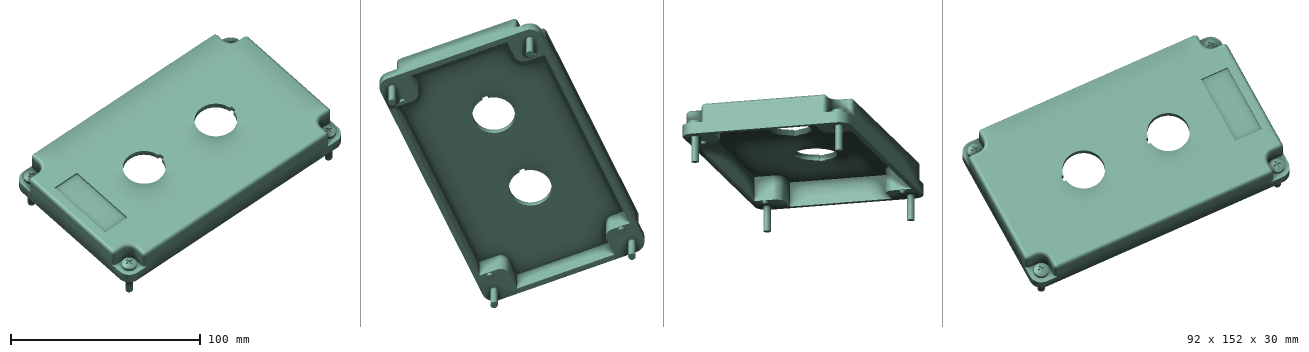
import cadquery as cq
import math

WIDTH = 92.0
LENGTH = 152.0
HEIGHT = 16.3
WALL = 3.0
CORNER_RADIUS = 6.5
EDGE_RADIUS = 2.0

POCKET_SIZE = 11.5
POCKET_FLOOR_Z = 6.1
POCKET_RADIUS = POCKET_SIZE - CORNER_RADIUS
BOSS_SIZE = 18.2

SCREW_X = WIDTH / 2 - CORNER_RADIUS
SCREW_Y = LENGTH / 2 - CORNER_RADIUS
SHANK_DIAMETER = 4.0
SHANK_LENGTH = 13.7
HEAD_DIAMETER = 7.9
HEAD_SIDE_HEIGHT = 2.0
HEAD_HEIGHT = 3.0
CROSS_LENGTH = 4.0
CROSS_WIDTH = 1.0
CROSS_DEPTH = 1.2

PEG_DIAMETER = 3.0
PEG_LENGTH = 1.4
PEG_TAPER = 15
PEG_X = WIDTH / 2 - 8.4
PEG_Y = LENGTH / 2 - 16.4

HOLE_DIAMETER = 22.5
HOLE_SPACING = 49.9
KEY_WIDTH = 3.2
KEY_REACH = 12.5

LABEL_WIDTH = 40.7
LABEL_LENGTH = 15.7
LABEL_DEPTH = 1.2
LABEL_Y = -62.0


def at_corners(x, y):
    """The four points mirrored about both centre lines."""
    return [(side_x * x, side_y * y) for side_x in (-1, 1) for side_y in (-1, 1)]


def corner_blocks(size, height):
    """Square blocks filling the four corners of the outline, with the inner edge rounded."""
    blocks = (
        cq.Workplane("XY")
        .pushPoints(at_corners(WIDTH / 2, LENGTH / 2))
        .rect(2 * size, 2 * size)
        .extrude(height)
    )
    return blocks.edges("|Z").fillet(POCKET_RADIUS)


def cover_shell():
    base = cq.Workplane("XY").rect(WIDTH, LENGTH).extrude(POCKET_FLOOR_Z)
    base = base.edges("|Z").fillet(CORNER_RADIUS)

    raised_height = HEIGHT - POCKET_FLOOR_Z
    raised = cq.Workplane("XY").rect(WIDTH, LENGTH).extrude(raised_height)
    raised = raised.cut(corner_blocks(POCKET_SIZE, raised_height))
    for side in ("<X", ">X", "<Y", ">Y"):
        raised = raised.faces(side).edges("|Z").fillet(EDGE_RADIUS)
    raised = raised.faces(">Z").edges().fillet(EDGE_RADIUS)

    cavity_height = HEIGHT - WALL
    cavity = cq.Workplane("XY").rect(WIDTH - 2 * WALL, LENGTH - 2 * WALL).extrude(cavity_height)
    cavity = cavity.cut(corner_blocks(BOSS_SIZE, cavity_height))

    return base.union(raised.translate((0, 0, POCKET_FLOOR_Z))).cut(cavity)


def button_hole():
    """Cutter for a round hole with a key notch on its +Y side."""
    bore = cq.Workplane("XY").circle(HOLE_DIAMETER / 2).extrude(HEIGHT)
    key = cq.Workplane("XY").center(0, KEY_REACH / 2).rect(KEY_WIDTH, KEY_REACH).extrude(HEIGHT)
    return bore.union(key)


def label_recess():
    return (
        cq.Workplane("XY", origin=(0, LABEL_Y, HEIGHT - LABEL_DEPTH))
        .rect(LABEL_WIDTH, LABEL_LENGTH)
        .extrude(LABEL_DEPTH)
    )


def screw():
    """Cross-head screw on the Z axis, its head seated on the pocket floor."""
    head_radius = HEAD_DIAMETER / 2
    shoulder_z = POCKET_FLOOR_Z + HEAD_SIDE_HEIGHT
    top_z = POCKET_FLOOR_Z + HEAD_HEIGHT
    dome_height = HEAD_HEIGHT - HEAD_SIDE_HEIGHT
    dome_radius = (head_radius**2 + dome_height**2) / (2 * dome_height)
    middle_x = head_radius / 2
    middle_z = top_z - dome_radius + math.sqrt(dome_radius**2 - middle_x**2)
    body = (
        cq.Workplane("XZ")
        .moveTo(0, -SHANK_LENGTH)
        .lineTo(SHANK_DIAMETER / 2, -SHANK_LENGTH)
        .lineTo(SHANK_DIAMETER / 2, POCKET_FLOOR_Z)
        .lineTo(head_radius, POCKET_FLOOR_Z)
        .lineTo(head_radius, shoulder_z)
        .threePointArc((middle_x, middle_z), (0, top_z))
        .close()
        .revolve(360, (0, 0, 0), (0, 1, 0))
    )
    cross_plane = cq.Workplane("XY", origin=(0, 0, top_z - CROSS_DEPTH))
    slot_x = cross_plane.rect(CROSS_LENGTH, CROSS_WIDTH).extrude(CROSS_DEPTH)
    slot_y = cross_plane.rect(CROSS_WIDTH, CROSS_LENGTH).extrude(CROSS_DEPTH)
    return body.cut(slot_x).cut(slot_y)


result = cover_shell().cut(label_recess())

for hole_y in (-HOLE_SPACING / 2, HOLE_SPACING / 2):
    result = result.cut(button_hole().translate((0, hole_y, 0)))

for screw_x, screw_y in at_corners(SCREW_X, SCREW_Y):
    result = result.union(screw().translate((screw_x, screw_y, 0)))

pegs = (
    cq.Workplane("XY")
    .pushPoints(at_corners(PEG_X, PEG_Y))
    .circle(PEG_DIAMETER / 2)
    .extrude(-PEG_LENGTH, taper=PEG_TAPER)
)
result = result.union(pegs)